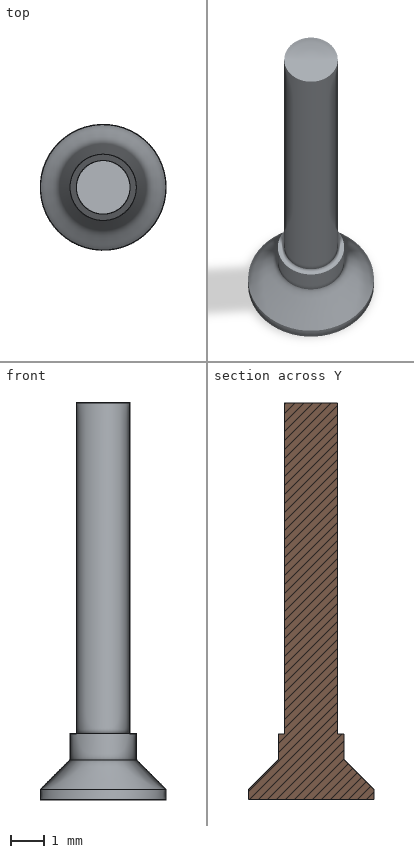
import cadquery as cq

total_height = 12.0
head_diameter = 3.8
collar_diameter = 2.0
shank_diameter = 1.62
rim_height = 0.31
collar_height = 0.79

cone_height = (head_diameter - collar_diameter) / 2
collar_base = rim_height + cone_height
shank_base = collar_base + collar_height

head_radius = head_diameter / 2
collar_radius = collar_diameter / 2
shank_radius = shank_diameter / 2

result = (
    cq.Workplane("XZ")
    .moveTo(0, 0)
    .lineTo(head_radius, 0)
    .lineTo(head_radius, rim_height)
    .lineTo(collar_radius, collar_base)
    .lineTo(collar_radius, shank_base)
    .lineTo(shank_radius, shank_base)
    .lineTo(shank_radius, total_height)
    .lineTo(0, total_height)
    .close()
    .revolve(360, (0, 0, 0), (0, 1, 0))
)